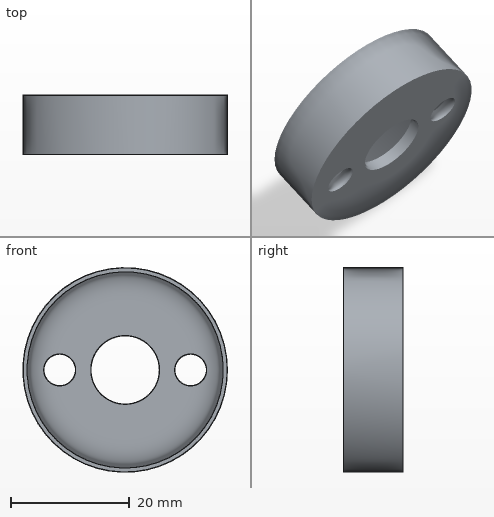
import cadquery as cq

outer_diameter = 34.4
inner_diameter = 33.0
length = 10.0
floor_thickness = 2.0
center_hole_diameter = 11.5
side_hole_diameter = 5.3
side_hole_spacing = 22.0

cavity_depth = length - floor_thickness


def cylinder_along_y(diameter, start_y, height, center_x=0):
    """Solid cylinder running toward +Y from start_y."""
    base = cq.Workplane("XZ", origin=(center_x, start_y, 0))
    return base.circle(diameter / 2).extrude(-height)


body = cylinder_along_y(outer_diameter, 0, length)
cup = body.cut(cylinder_along_y(inner_diameter, 0, cavity_depth))

cup = cup.cut(cylinder_along_y(center_hole_diameter, cavity_depth, floor_thickness))

for side in (-1, 1):
    hole_x = side * side_hole_spacing / 2
    cup = cup.cut(cylinder_along_y(side_hole_diameter, cavity_depth, floor_thickness, hole_x))

result = cup